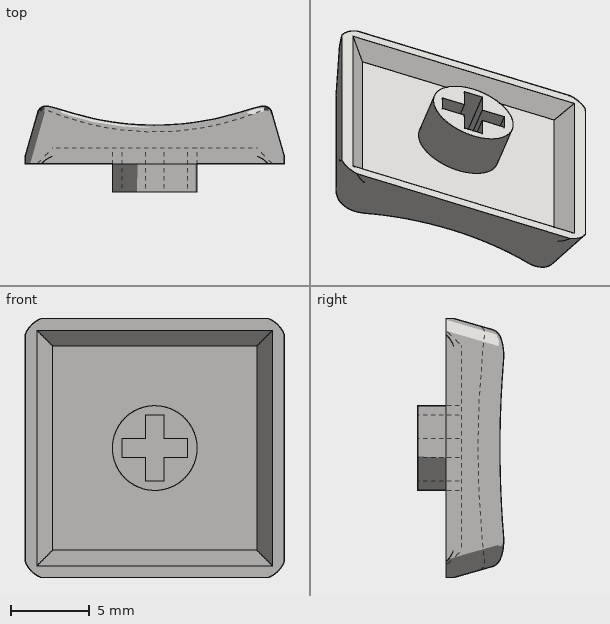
import cadquery as cq
import math

cap_width = 16.5
lip_height = 0.5
wall_angle = 16.0
corner_radius = 1.98
dish_height = 2.03
dish_radius_across = 17.65
dish_radius_along = 61.88
top_edge_radius = 0.5
stock_height = 4.95

pocket_width = 14.98
pocket_depth = 1.0
pocket_angle = 44.8

stem_diameter = 5.4
stem_length = 1.8
cross_length = 4.19
cross_width = 1.2
cross_depth = stem_length + pocket_depth


def rim_plane(offset=0.0):
    """Plane parallel to the rim, with its normal along +Y."""
    return cq.Workplane(cq.Plane(origin=(0, offset, 0), xDir=(1, 0, 0), normal=(0, 1, 0)))


def square_frustum(base_width, height, angle):
    """Square block on the rim plane with all four walls leaning inward."""
    return rim_plane().rect(base_width, base_width).extrude(height, taper=angle)


def make_dish():
    """Barrel around an X-parallel axis; its underside is the doubly curved top of the cap."""
    half_length = 0.75 * cap_width
    axis_y = dish_height + dish_radius_along
    end_rise = dish_radius_across - math.sqrt(dish_radius_across**2 - half_length**2)
    end_y = dish_height + end_rise
    profile = (
        cq.Workplane("XY")
        .moveTo(-half_length, axis_y)
        .lineTo(-half_length, end_y)
        .threePointArc((0, dish_height), (half_length, end_y))
        .lineTo(half_length, axis_y)
        .close()
    )
    barrel = profile.revolve(360, (0, axis_y, 0), (1, axis_y, 0))
    return barrel.rotate((0, axis_y, 0), (1, axis_y, 0), 90)


def make_cap():
    lean_at_lip = lip_height * math.tan(math.radians(wall_angle))
    cap = square_frustum(cap_width + 2 * lean_at_lip, stock_height, wall_angle)
    cap = cap.edges("not #Y").fillet(corner_radius)
    cap = cap.cut(make_dish())
    cap = cap.faces("%TORUS or %REVOLUTION").edges().fillet(top_edge_radius)
    lip_box = rim_plane().rect(cap_width, cap_width).extrude(stock_height)
    return cap.intersect(lip_box)


def make_stem():
    return rim_plane(-stem_length).circle(stem_diameter / 2).extrude(stem_length + pocket_depth)


def make_cross():
    cross = rim_plane(-stem_length).rect(cross_length, cross_width).extrude(cross_depth)
    return cross.union(rim_plane(-stem_length).rect(cross_width, cross_length).extrude(cross_depth))


pocket = square_frustum(pocket_width, pocket_depth, pocket_angle)
result = make_cap().cut(pocket).union(make_stem()).cut(make_cross())